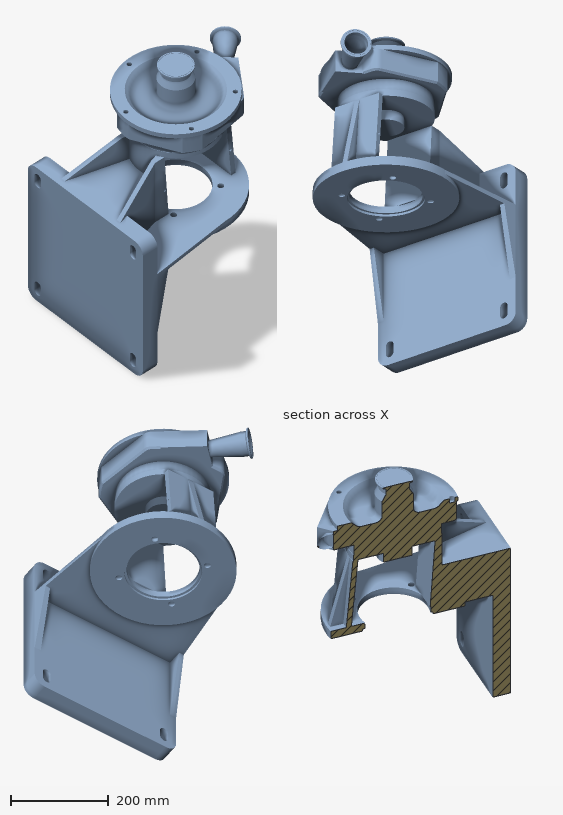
import cadquery as cq
import math

DISC_BOTTOM = 250
SHELF_BOTTOM = 260
SHELF_TOP = 270
PLATE_TOP = 370
HUB_BOTTOM = 412.5
ADAPTER_BOTTOM = 435
ADAPTER_TOP = 450
VOLUTE_BOTTOM = 474.5
FLANGE_BOTTOM = 523
FLANGE_TOP = 534
INLET_TOP = 603

PLATE_WIDTH = 350
PLATE_THICKNESS = 40
PLATE_FRONT = -250
PLATE_BACK = PLATE_FRONT + PLATE_THICKNESS
PLATE_CORNER = 25
SLOT_LENGTH = 36
SLOT_WIDTH = 19
SLOT_X = 145
SLOT_MARGIN = 35

DISC_RADIUS = 150
MOTOR_BORE = 150
MOTOR_SPIGOT = 160
MOTOR_SPIGOT_DEPTH = 5
MOTOR_BOLT_CIRCLE = 184
MOTOR_BOLT_HOLE = 14
MOTOR_BOLT_COUNT = 4
FIRST_MOTOR_BOLT_ANGLE = 45
GUSSET_THICKNESS = 15
GUSSET_REACH = 34
GUSSET_FOOT = 103

LEG_HALF_WIDTH = 56
LEG_SIDE_END = -108.4
COLUMN_RADIUS = 100
FRONT_INNER_TOP = -82
FRONT_INNER_BOTTOM = -71
REAR_INNER_TOP = 87.5
REAR_INNER_BOTTOM = 102
REAR_WALL = 12.3
REAR_RIB_FOOT = 143.5
REAR_RIB_THICKNESS = 12
RIB_ANGLE = 15
RIB_WIDTH_X = 11
RIB_END = -235.4
TAP_HOLE = 6
TAP_DEPTH = 15
TAP_Z = 341
TAP_EDGE = 5

ADAPTER_RADIUS = 100
NECK_RADIUS = 99
HUB_RADIUS = 37.5
VOLUTE_RADIUS = 132
VOLUTE_FLAT = 118
FIRST_FLAT_ANGLE = 153
CASING_FLATS = 4
FLAT_PITCH = 72
VOLUTE_EDGE = 4
OUTLET_FACE = 114.6
OUTLET_ANGLE = 135
OUTLET_FLANK = 138
OUTLET_FLANK_ANGLE = 53.5
OUTLET_SHOULDER_Y = 127
OUTLET_CORNER = 20

FLANGE_RADIUS = 135
FLANGE_BOLT_RADIUS = 122
FLANGE_BOLT_HOLE = 11
FLANGE_BOLT_COUNT = 5
FIRST_BOLT_ANGLE = 45
RECESS_RADIUS = 104.6
RECESS_CONE = 11
RECESS_FILLET = 15.5
INLET_RADIUS = 40
INLET_FILLET = 13
INLET_SHOULDER_Z = 568.5
INLET_NECK_Z = 584.5
INLET_NECK_RADIUS = 32.5
INLET_FERRULE_RADIUS = 38.75
FERRULE_RIM = 3
FERRULE_TAPER = 2.5
INLET_GROOVE_RADIUS = 34.8
GROOVE_WIDTH = 1.5
GROOVE_DEPTH = 1

NOZZLE_END = 199
NOZZLE_OFFSET = 92
NOZZLE_FERRULE_RADIUS = 32
NOZZLE_RADIUS = 26
NOZZLE_ROOT_RADIUS = 18
NOZZLE_STRAIGHT = 17
NOZZLE_COLLAR = 4
NOZZLE_WALL = 1.5
BORE_STRAIGHT = 12
BORE_TAPER_START = 26
BORE_TAPER_RADIUS = 23
NOZZLE_GROOVE_RADIUS = 27.5


def polar(radius, angle):
    """Point at a radius and an angle in degrees."""
    return (radius * math.cos(math.radians(angle)), radius * math.sin(math.radians(angle)))


def line_crossing(distance_a, angle_a, distance_b, angle_b):
    """Crossing of two lines, each given by its distance from the axis and its normal's angle."""
    ax, ay = polar(1, angle_a)
    bx, by = polar(1, angle_b)
    det = ax * by - ay * bx
    return ((distance_a * by - distance_b * ay) / det, (ax * distance_b - bx * distance_a) / det)


def prism(points, bottom, top):
    """Straight prism on a plan outline between two levels."""
    return cq.Workplane("XY").workplane(offset=bottom).polyline(points).close().extrude(top - bottom)


def drum(radius, bottom, top):
    """Round drum on the pump axis between two levels."""
    return cq.Workplane("XY").workplane(offset=bottom).circle(radius).extrude(top - bottom)


def side_prism(points, x_centre, thickness):
    """Slab with a (Y, Z) outline, centred on an X position."""
    return (
        cq.Workplane("YZ")
        .workplane(offset=x_centre - thickness / 2)
        .polyline(points)
        .close()
        .extrude(thickness)
    )


def mounting_plate():
    height_centre = PLATE_TOP / 2
    plate = (
        cq.Workplane("XY")
        .box(PLATE_WIDTH, PLATE_THICKNESS, PLATE_TOP)
        .edges("|Y")
        .fillet(PLATE_CORNER)
        .translate((0, (PLATE_FRONT + PLATE_BACK) / 2, height_centre))
    )
    slots = (
        cq.Workplane("XZ", origin=(0, PLATE_BACK, height_centre))
        .rect(2 * SLOT_X, PLATE_TOP - 2 * SLOT_MARGIN, forConstruction=True)
        .vertices()
        .slot2D(SLOT_LENGTH, SLOT_WIDTH, 90)
        .extrude(PLATE_THICKNESS)
    )
    return plate.cut(slots)


def shelf_plan(bottom, top):
    """Trapezoid that widens from the motor disc's diameter to the plate's full width."""
    half_width = PLATE_WIDTH / 2
    plan = [
        (-half_width, PLATE_BACK),
        (half_width, PLATE_BACK),
        (DISC_RADIUS, 0),
        (-DISC_RADIUS, 0),
    ]
    return prism(plan, bottom, top)


def shelf():
    body = shelf_plan(SHELF_BOTTOM, SHELF_TOP).union(drum(DISC_RADIUS, DISC_BOTTOM, SHELF_TOP))
    outline = [
        (PLATE_BACK, GUSSET_FOOT),
        (PLATE_BACK, SHELF_BOTTOM),
        (PLATE_BACK + GUSSET_REACH, SHELF_BOTTOM),
    ]
    envelope = shelf_plan(GUSSET_FOOT, SHELF_BOTTOM)
    for side in (-1, 1):
        gusset = side_prism(outline, side * (PLATE_WIDTH - GUSSET_THICKNESS) / 2, GUSSET_THICKNESS)
        body = body.union(gusset.intersect(envelope))
    return body


def motor_holes():
    """Bore with a shallow spigot recess underneath, and four bolt holes on the diagonals."""
    bore = drum(MOTOR_BORE / 2, DISC_BOTTOM, SHELF_TOP)
    spigot = drum(MOTOR_SPIGOT / 2, DISC_BOTTOM, DISC_BOTTOM + MOTOR_SPIGOT_DEPTH)
    bolts = (
        cq.Workplane("XY")
        .workplane(offset=DISC_BOTTOM)
        .polarArray(MOTOR_BOLT_CIRCLE / 2, FIRST_MOTOR_BOLT_ANGLE, 360, MOTOR_BOLT_COUNT)
        .circle(MOTOR_BOLT_HOLE / 2)
        .extrude(SHELF_TOP - DISC_BOTTOM)
    )
    return bore.union(spigot).union(bolts)


def front_leg():
    """Round-faced column with two splayed ribs and a solid block down to the plate between them."""
    splay = math.tan(math.radians(RIB_ANGLE))
    outer_end = LEG_HALF_WIDTH + (LEG_SIDE_END - RIB_END) * splay
    block_end = LEG_HALF_WIDTH + (LEG_SIDE_END - PLATE_BACK) * splay
    left_side = [(-LEG_HALF_WIDTH, 0), (-LEG_HALF_WIDTH, LEG_SIDE_END)]
    inner_start = LEG_HALF_WIDTH - RIB_WIDTH_X + LEG_SIDE_END * splay
    rib_plan = left_side + [
        (-outer_end, RIB_END),
        (RIB_WIDTH_X - outer_end, RIB_END),
        (-inner_start, 0),
    ]
    rib = prism(rib_plan, SHELF_TOP, ADAPTER_BOTTOM)
    column_box = cq.Workplane("XY").box(
        2 * LEG_HALF_WIDTH, COLUMN_RADIUS, ADAPTER_BOTTOM - SHELF_TOP, centered=(True, False, False)
    ).translate((0, -COLUMN_RADIUS, SHELF_TOP))
    column = drum(COLUMN_RADIUS, SHELF_TOP, ADAPTER_BOTTOM).intersect(column_box)
    block_plan = left_side + [
        (-block_end, PLATE_BACK),
        (block_end, PLATE_BACK),
        (LEG_HALF_WIDTH, LEG_SIDE_END),
        (LEG_HALF_WIDTH, 0),
    ]
    block = prism(block_plan, SHELF_TOP, PLATE_TOP)
    side_outline = [
        (FRONT_INNER_BOTTOM, SHELF_TOP),
        (FRONT_INNER_TOP, ADAPTER_BOTTOM),
        (LEG_SIDE_END, ADAPTER_BOTTOM),
        (RIB_END, PLATE_TOP),
        (RIB_END, SHELF_TOP),
    ]
    envelope = side_prism(side_outline, 0, PLATE_WIDTH)
    return column.union(rib).union(rib.mirror("YZ")).union(block).intersect(envelope)


def rear_leg():
    """Leaning wall stiffened by one central rib."""
    wall = [
        (REAR_INNER_BOTTOM, SHELF_TOP),
        (REAR_INNER_TOP, ADAPTER_BOTTOM),
        (REAR_INNER_TOP + REAR_WALL, ADAPTER_BOTTOM),
        (REAR_INNER_BOTTOM + REAR_WALL, SHELF_TOP),
    ]
    rib = [
        (REAR_INNER_BOTTOM, SHELF_TOP),
        (REAR_INNER_TOP, ADAPTER_BOTTOM),
        (REAR_INNER_TOP + REAR_WALL, ADAPTER_BOTTOM),
        (REAR_RIB_FOOT, SHELF_TOP),
    ]
    return side_prism(wall, 0, 2 * LEG_HALF_WIDTH).union(side_prism(rib, 0, REAR_RIB_THICKNESS))


def leg_tap_holes():
    """Blind holes in both side faces of each leg, close to the inner faces."""
    rise = (TAP_Z - SHELF_TOP) / (ADAPTER_BOTTOM - SHELF_TOP)
    front_y = FRONT_INNER_BOTTOM + rise * (FRONT_INNER_TOP - FRONT_INNER_BOTTOM) - TAP_EDGE
    rear_y = REAR_INNER_BOTTOM + rise * (REAR_INNER_TOP - REAR_INNER_BOTTOM) + TAP_EDGE
    left = (
        cq.Workplane("YZ")
        .workplane(offset=-LEG_HALF_WIDTH)
        .pushPoints([(front_y, TAP_Z), (rear_y, TAP_Z)])
        .circle(TAP_HOLE / 2)
        .extrude(TAP_DEPTH)
    )
    return left.union(left.mirror("YZ"))


def volute():
    """Round casing with flats and a faceted outlet block; all but the outlet has a chamfered base."""
    height = FLANGE_BOTTOM - VOLUTE_BOTTOM
    casing = drum(VOLUTE_RADIUS, VOLUTE_BOTTOM, FLANGE_BOTTOM)
    last_flat_angle = FIRST_FLAT_ANGLE + (CASING_FLATS - 1) * FLAT_PITCH
    flank_corner = line_crossing(VOLUTE_FLAT, last_flat_angle, OUTLET_FLANK, OUTLET_FLANK_ANGLE)
    shoulder_corner = line_crossing(VOLUTE_FLAT, FIRST_FLAT_ANGLE, OUTLET_SHOULDER_Y, 90)
    outlet_apex = line_crossing(OUTLET_FLANK, OUTLET_FLANK_ANGLE, OUTLET_FACE, OUTLET_ANGLE)
    outlet_root = line_crossing(OUTLET_FACE, OUTLET_ANGLE, OUTLET_SHOULDER_Y, 90)
    block_points = [
        (0, 0),
        polar(VOLUTE_FLAT, last_flat_angle),
        flank_corner,
        outlet_apex,
        outlet_root,
        shoulder_corner,
        polar(VOLUTE_FLAT, FIRST_FLAT_ANGLE),
    ]
    block = prism(block_points, VOLUTE_BOTTOM, FLANGE_BOTTOM)
    for corner in (flank_corner, shoulder_corner):
        picker = cq.selectors.NearestToPointSelector((*corner, VOLUTE_BOTTOM + height / 2))
        block = block.edges("|Z").edges(picker).fillet(OUTLET_CORNER)
    for index in range(CASING_FLATS):
        trimmer = (
            cq.Workplane("XY")
            .box(VOLUTE_RADIUS, 2 * VOLUTE_RADIUS, height, centered=(False, True, False))
            .translate((VOLUTE_FLAT, 0, VOLUTE_BOTTOM))
            .rotate((0, 0, 0), (0, 0, 1), FIRST_FLAT_ANGLE + index * FLAT_PITCH)
        )
        casing = casing.cut(trimmer)
    square_edged = prism(
        [(0, 0), polar(OUTLET_FLANK, OUTLET_FLANK_ANGLE), outlet_apex, outlet_root],
        VOLUTE_BOTTOM,
        FLANGE_BOTTOM,
    )
    return casing.union(block).faces("<Z").edges().chamfer(VOLUTE_EDGE).union(square_edged)


def suction_side():
    """Suction flange and inlet stub, turned with the dished recess between them."""
    half_root = math.sin(math.radians(45))
    recess_wall = RECESS_RADIUS - RECESS_CONE
    recess_floor_radius = recess_wall - RECESS_FILLET * half_root
    cone_end = FLANGE_TOP - RECESS_CONE
    floor = cone_end - RECESS_FILLET * (1 - half_root)
    recess_mid = math.radians(45) / 2
    recess_arc_mid = (
        recess_floor_radius + RECESS_FILLET * math.sin(recess_mid),
        floor + RECESS_FILLET * (1 - math.cos(recess_mid)),
    )
    inlet_arc_mid = (
        INLET_RADIUS + INLET_FILLET * (1 - half_root),
        floor + INLET_FILLET * (1 - half_root),
    )
    rim_bottom = INLET_TOP - FERRULE_RIM
    recess = (
        cq.Workplane("XZ")
        .moveTo(0, floor)
        .lineTo(recess_floor_radius, floor)
        .threePointArc(recess_arc_mid, (recess_wall, cone_end))
        .lineTo(RECESS_RADIUS, FLANGE_TOP)
        .lineTo(0, FLANGE_TOP)
        .close()
        .revolve(360, (0, 0, 0), (0, 1, 0))
    )
    inlet = (
        cq.Workplane("XZ")
        .moveTo(0, floor)
        .lineTo(INLET_RADIUS + INLET_FILLET, floor)
        .threePointArc(inlet_arc_mid, (INLET_RADIUS, floor + INLET_FILLET))
        .lineTo(INLET_RADIUS, INLET_SHOULDER_Z)
        .lineTo(INLET_NECK_RADIUS, INLET_NECK_Z)
        .lineTo(INLET_NECK_RADIUS, rim_bottom - FERRULE_TAPER)
        .lineTo(INLET_FERRULE_RADIUS, rim_bottom)
        .lineTo(INLET_FERRULE_RADIUS, INLET_TOP)
        .lineTo(INLET_GROOVE_RADIUS + GROOVE_WIDTH, INLET_TOP)
        .lineTo(INLET_GROOVE_RADIUS + GROOVE_WIDTH, INLET_TOP - GROOVE_DEPTH)
        .lineTo(INLET_GROOVE_RADIUS, INLET_TOP - GROOVE_DEPTH)
        .lineTo(INLET_GROOVE_RADIUS, INLET_TOP)
        .lineTo(0, INLET_TOP)
        .close()
        .revolve(360, (0, 0, 0), (0, 1, 0))
    )
    bolts = (
        cq.Workplane("XY")
        .workplane(offset=FLANGE_BOTTOM)
        .polarArray(FLANGE_BOLT_RADIUS, FIRST_BOLT_ANGLE, 360, FLANGE_BOLT_COUNT)
        .circle(FLANGE_BOLT_HOLE / 2)
        .extrude(FLANGE_TOP - FLANGE_BOTTOM)
    )
    return recess, inlet, bolts


def place_on_outlet(turned):
    """Move a solid turned about the Y axis onto the discharge axis."""
    middle = (VOLUTE_BOTTOM + FLANGE_BOTTOM) / 2
    return turned.translate((NOZZLE_OFFSET, 0, middle)).rotate((0, 0, 0), (0, 0, 1), OUTLET_ANGLE - 90)


def nozzle():
    """Tapered discharge nozzle with its bore and a grooved clamp ferrule."""
    rim_start = NOZZLE_END - FERRULE_RIM
    cone_end = NOZZLE_END - NOZZLE_STRAIGHT
    groove_outer = NOZZLE_GROOVE_RADIUS + GROOVE_WIDTH
    bore_radius = NOZZLE_RADIUS - NOZZLE_WALL
    section = [
        (NOZZLE_ROOT_RADIUS - NOZZLE_WALL, OUTLET_FACE),
        (NOZZLE_ROOT_RADIUS, OUTLET_FACE),
        (NOZZLE_ROOT_RADIUS, OUTLET_FACE + NOZZLE_COLLAR),
        (NOZZLE_RADIUS, cone_end),
        (NOZZLE_RADIUS, rim_start - FERRULE_TAPER),
        (NOZZLE_FERRULE_RADIUS, rim_start),
        (NOZZLE_FERRULE_RADIUS, NOZZLE_END),
        (groove_outer, NOZZLE_END),
        (groove_outer, NOZZLE_END - GROOVE_DEPTH),
        (NOZZLE_GROOVE_RADIUS, NOZZLE_END - GROOVE_DEPTH),
        (NOZZLE_GROOVE_RADIUS, NOZZLE_END),
        (bore_radius, NOZZLE_END),
        (bore_radius, NOZZLE_END - BORE_STRAIGHT),
        (BORE_TAPER_RADIUS, NOZZLE_END - BORE_TAPER_START),
    ]
    turned = cq.Workplane("XY").polyline(section).close().revolve(360, (0, 0, 0), (0, 1, 0))
    return place_on_outlet(turned)


def bracket():
    body = mounting_plate().union(shelf()).cut(motor_holes())
    return body.union(front_leg()).union(rear_leg()).cut(leg_tap_holes())


def pump():
    recess, inlet, bolts = suction_side()
    body = (
        drum(HUB_RADIUS, HUB_BOTTOM, ADAPTER_BOTTOM)
        .union(drum(ADAPTER_RADIUS, ADAPTER_BOTTOM, ADAPTER_TOP))
        .union(drum(NECK_RADIUS, ADAPTER_TOP, VOLUTE_BOTTOM))
        .union(volute())
        .union(drum(FLANGE_RADIUS, FLANGE_BOTTOM, FLANGE_TOP))
    )
    return body.cut(recess).cut(bolts).union(inlet).union(nozzle())


result = bracket().union(pump())